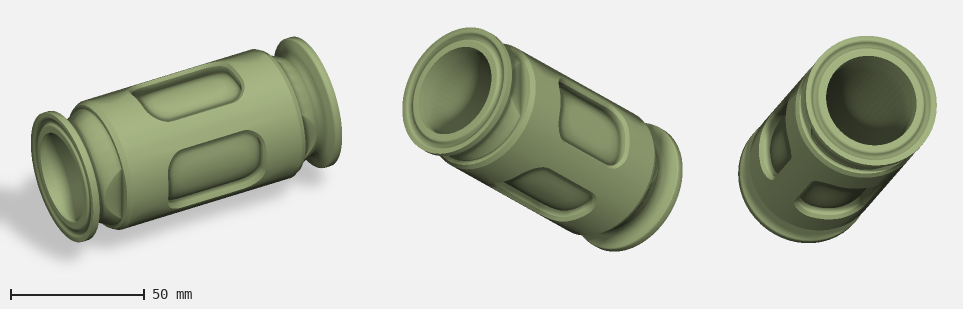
import cadquery as cq
import math

length = 105.0
half_length = length / 2

flange_radius = 25.25
bore_radius = 17.4
neck_radius = 19.3
flat_distance = 19.5
shoulder_radius = 22.6
rim_thickness = 2.8
rim_round = 0.7
flange_back = 5.0
neck_fillet = 1.9
cone_start = 7.2
cone_end = 14.5
ferrule_length = 20.4

groove_radius = 21.7
groove_half_width = 2.0
groove_arc = 1.2
groove_lip = 1.0

glass_radius = 21.0

housing_diameter = 50.3
housing_radius = housing_diameter / 2
housing_start = 14.9
housing_chamfer_length = 2.0
housing_chamfer_height = 1.0

window_count = 4
window_width = 23.9
window_length = 39.9
window_corner = 7.5
bevel_depth = 1.5
bevel_side = 1.5
bevel_end = 0.7


def cylinder(radius, cylinder_length):
    """Solid cylinder along Y, centred on the origin."""
    start = cq.Workplane("XZ", origin=(0, cylinder_length / 2, 0))
    return start.circle(radius).extrude(cylinder_length)


def groove_points():
    """Middle and end of a rounded lip, as offset from the groove's middle and depth, and the groove depth."""
    angle = math.asin(groove_half_width / (groove_arc + groove_lip))
    depth = (groove_arc + groove_lip) * (1 - math.cos(angle))

    def lip_point(turn):
        """Point on the lip where its surface has turned by this angle from the flange face."""
        return groove_half_width - groove_lip * math.sin(turn), groove_lip * (1 - math.cos(turn))

    return lip_point(angle / 2), lip_point(angle), depth


def round_edge(body, distance, radius):
    """Fillet the circular edge that lies at the given distance from the flange face."""
    margin = 0.1
    low_corner = (-length, distance - margin, -length)
    high_corner = (length, distance + margin, length)
    edge = cq.selectors.BoxSelector(low_corner, high_corner)
    return body.edges(edge).fillet(radius)


def ferrule():
    """Clamp ferrule with two wrench flats, at the -Y end."""
    (lip_x, lip_y), (wall_x, wall_y), depth = groove_points()
    body = (
        cq.Workplane("XY")
        .moveTo(bore_radius, 0)
        .lineTo(groove_radius - groove_half_width, 0)
        .threePointArc((groove_radius - lip_x, lip_y), (groove_radius - wall_x, wall_y))
        .threePointArc((groove_radius, depth), (groove_radius + wall_x, wall_y))
        .threePointArc((groove_radius + lip_x, lip_y), (groove_radius + groove_half_width, 0))
        .lineTo(flange_radius, 0)
        .lineTo(flange_radius, rim_thickness)
        .lineTo(neck_radius, flange_back)
        .lineTo(neck_radius, cone_start)
        .lineTo(shoulder_radius, cone_end)
        .lineTo(shoulder_radius, ferrule_length)
        .lineTo(bore_radius, ferrule_length)
        .close()
        .revolve(360, (0, 0, 0), (0, 1, 0))
    )
    body = round_edge(body, rim_thickness, rim_round)
    body = round_edge(body, flange_back, neck_fillet)
    flat_length = housing_start - cone_start
    for side in (-1, 1):
        flat = cq.Workplane("XY").box(flange_radius, flat_length, length)
        flat = flat.translate((side * (flat_distance + flange_radius / 2), cone_start + flat_length / 2, 0))
        body = body.cut(flat)
    return body.translate((0, -half_length, 0))


def window_prism(width, prism_length, corner):
    """Rounded window outline running outward along +Z from the axis."""
    prism = cq.Workplane("XY").rect(width, prism_length).extrude(length)
    return prism.edges("|Z").fillet(corner)


def window_patch(prism, radius):
    """Curved face that the prism cuts out of a cylinder of the given radius."""
    return cylinder(radius, length).intersect(prism).faces(">Z").val()


def window_bevel():
    """Solid that bevels a window edge, between two curved faces."""
    inner_prism = window_prism(window_width, window_length, window_corner)
    outer_width = window_width + 2 * bevel_side
    outer_length = window_length + 2 * bevel_end
    outer_prism = window_prism(outer_width, outer_length, window_corner + bevel_end)
    inner = window_patch(inner_prism, housing_radius - bevel_depth)
    outer = window_patch(outer_prism, housing_radius)
    sides = cq.Face.makeRuledSurface(inner.outerWire(), outer.outerWire())
    shell = cq.Shell.makeShell([inner, outer, *sides.Faces()])
    return cq.Workplane(cq.Solid.makeSolid(shell))


def housing():
    """Tubular housing with bevelled windows and a socket for a ferrule at each end."""
    housing_length = length - 2 * housing_start
    body = cylinder(housing_radius, housing_length)
    body = body.edges().chamfer(housing_chamfer_length, housing_chamfer_height)
    body = body.cut(cylinder(glass_radius, housing_length))
    between_ferrules = cylinder(shoulder_radius, length - 2 * ferrule_length)
    sockets = cylinder(shoulder_radius, length).cut(between_ferrules)
    body = body.cut(sockets)
    window = window_prism(window_width, window_length, window_corner)
    bevel = window_bevel()
    for index in range(window_count):
        angle = index * 360 / window_count
        body = body.cut(window.rotate((0, 0, 0), (0, 1, 0), angle))
        body = body.cut(bevel.rotate((0, 0, 0), (0, 1, 0), angle))
    return body


def glass_tube():
    """Plain tube between the two ferrules."""
    glass_length = length - 2 * ferrule_length
    return cylinder(glass_radius, glass_length).cut(cylinder(bore_radius, glass_length))


ferrules = []
for end_rotation in (0, 180):
    ferrules.append(ferrule().rotate((0, 0, 0), (0, 0, 1), end_rotation))

result = cq.Compound.makeCompound([
    *[end.val() for end in ferrules],
    housing().val(),
    glass_tube().val(),
])